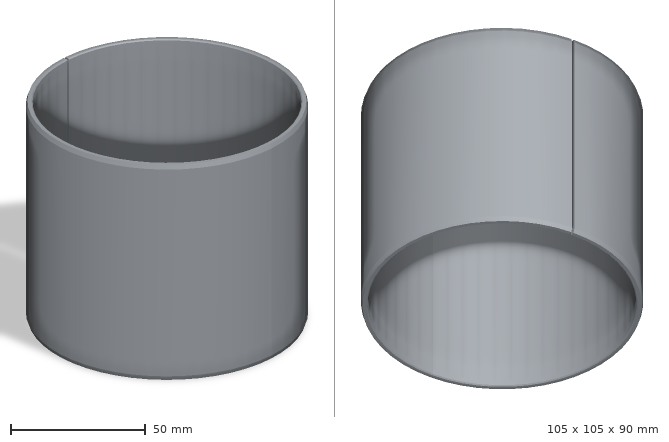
import cadquery as cq

outer_diameter = 105.0
wall = 2.5
length = 90.0
slit_width = 0.9

outer_chamfer_length = 1.8
outer_chamfer_depth = 0.6
inner_chamfer = 0.4

outer_radius = outer_diameter / 2
inner_radius = outer_radius - wall
half_length = length / 2


def bush_profile():
    """Half section of the wall in the XZ plane, chamfered at both ends."""
    upper_half = [
        (inner_radius, half_length - inner_chamfer),
        (inner_radius + inner_chamfer, half_length),
        (outer_radius - outer_chamfer_depth, half_length),
        (outer_radius, half_length - outer_chamfer_length),
    ]
    lower_half = [(radius, -height) for radius, height in reversed(upper_half)]
    return cq.Workplane("XZ").polyline(upper_half + lower_half).close()


def slit():
    """Full-length gap through the -X side, with one face on the XZ plane and opening toward +Y."""
    return (
        cq.Workplane("XY")
        .box(outer_radius, slit_width, length, centered=(False, False, True))
        .translate((-outer_radius, 0, 0))
    )


bush = bush_profile().revolve(360, (0, 0, 0), (0, 1, 0))
result = bush.cut(slit())